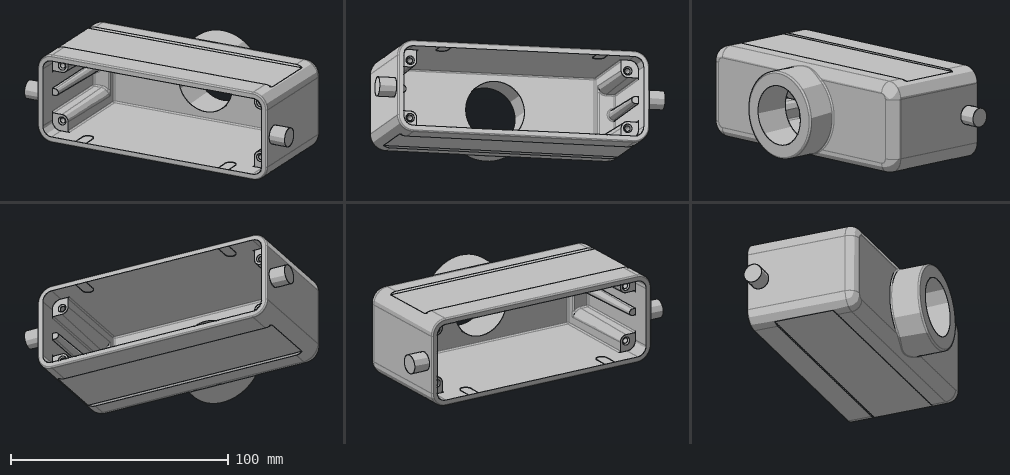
import cadquery as cq
import math

overall_width = 136.0
overall_depth = 69.5
body_width = 120.0
body_depth = 54.8
body_height = 43.0
corner_radius = 7.5
back_edge_radius = 5.0
rim_radius = 0.7

wall = 2.9
draft_angle = 1.2
inner_fillet = 0.7
cavity_depth = body_depth - wall
cavity_width = body_width - 2 * wall
cavity_height = body_height - 2 * wall

recess_front = 12.4
recess_back = 42.5
recess_depth = 0.8

entry_diameter = 41.1
entry_bore = 27.9
entry_edge_radius = 0.8
entry_base_fillet = 0.7

peg_diameter = 9.0
peg_y = 6.7

post_start = 8.8
post_x = 51.8
post_z = 13.5
post_radius = 3.1
post_inner_x = post_x - post_radius
post_inner_z = post_z - post_radius
screw_hole_diameter = 2.6
screw_hole_depth = 16.3
screw_hole_chamfer = 0.7
ledge_height = 4.1
ledge_y = cavity_depth - ledge_height
rib_radius = 1.6
rib_x = 55.4

groove_x = 37.3
groove_width = 5.5
groove_length = 9.4

SIDES = (-1, 1)


def section(y):
    """Sketch plane across the part at depth y; extruding by a negative length goes toward +Y."""
    return cq.Workplane("XZ", origin=(0, y, 0))


def edges_at_depth(solid, y):
    """Edges lying on the flat faces that sit at depth y."""
    reach = overall_width
    slab = cq.selectors.BoxSelector((-reach, y - 0.01, -reach), (reach, y + 0.01, reach))
    return solid.faces("|Y").faces(slab).edges()


def make_body():
    body = section(0).rect(body_width, body_height).extrude(-body_depth)
    body = body.edges("|Y").fillet(corner_radius)
    body = body.faces(">Y").edges().fillet(back_edge_radius)
    return body.faces("<Y").edges().fillet(rim_radius)


def add_entry(body):
    """Round cable entry, blended into the back of the body."""
    start = body_depth / 2
    entry = section(start).circle(entry_diameter / 2).extrude(start - overall_depth)
    body = body.union(entry)
    half = entry_diameter / 2 + 0.1
    seam_zone = cq.selectors.BoxSelector(
        (-half, body_depth - back_edge_radius, -half),
        (half, body_depth + 0.1, half),
        boundingbox=True,
    )
    body = body.edges(seam_zone).fillet(entry_base_fillet)
    return body.faces(">Y").edges().fillet(entry_edge_radius)


def make_post():
    """Drafted post filling the +X +Z cavity corner, rounded around its screw axis."""
    arc_offset = post_radius * math.sqrt(0.5)
    return (
        section(post_start)
        .moveTo(post_inner_x, body_height / 2)
        .lineTo(post_inner_x, post_z)
        .threePointArc((post_x - arc_offset, post_z - arc_offset), (post_x, post_inner_z))
        .lineTo(body_width / 2, post_inner_z)
        .lineTo(body_width / 2, body_height / 2)
        .close()
        .extrude(post_start - body_depth, taper=-draft_angle)
    )


def make_rib():
    """Drafted half-round guide rib on the +X end wall."""
    return (
        section(post_start)
        .moveTo(body_width / 2, rib_radius)
        .lineTo(rib_x, rib_radius)
        .threePointArc((rib_x - rib_radius, 0), (rib_x, -rib_radius))
        .lineTo(body_width / 2, -rib_radius)
        .close()
        .extrude(post_start - body_depth, taper=-draft_angle)
    )


def make_ledge():
    """Raised step along the foot of the +X end wall, flush with the posts."""
    drafted_x = post_inner_x - (ledge_y - post_start) * math.tan(math.radians(draft_angle))
    length = body_width / 2 - drafted_x
    return (
        section(ledge_y)
        .center(drafted_x + length / 2, 0)
        .rect(length, 2 * body_height)
        .extrude(ledge_y - body_depth, taper=-draft_angle)
    )


def edge_zone(x, y, z):
    """Box selector around one long edge, wide enough to allow for the draft."""
    margin_across = 1.4
    margin_along = 3.4
    return cq.selectors.BoxSelector(
        (x - margin_across, y - margin_along, z - margin_across),
        (x + margin_across, y + margin_along, z + margin_across),
    )


def post_corner_zones():
    """Selector for the eight long edges where the posts run into the cavity walls."""
    corners = [(post_inner_x, cavity_height / 2), (cavity_width / 2, post_inner_z)]
    middle_y = (post_start + cavity_depth) / 2
    zones = [
        edge_zone(x_side * x, middle_y, z_side * z)
        for x, z in corners
        for x_side in SIDES
        for z_side in SIDES
    ]
    selector = zones[0]
    for zone in zones[1:]:
        selector = selector + zone
    return selector


def make_cavity():
    """Solid to subtract from the body: the drafted pocket less its internal posts and ribs."""
    cavity = section(0).sketch().rect(cavity_width, cavity_height).vertices()
    cavity = cavity.fillet(corner_radius - wall).finalize().extrude(-cavity_depth, taper=draft_angle)
    post = make_post()
    end_details = make_ledge().union(make_rib()).union(post).union(post.mirror("XY"))
    cavity = cavity.cut(end_details).cut(end_details.mirror("YZ"))
    blended = cavity.edges(post_corner_zones())
    for y in (ledge_y, cavity_depth):
        blended = blended.add(edges_at_depth(cavity, y))
    return blended.fillet(inner_fillet)


def make_grooves():
    """Undrafted slots, so their depth grows from nothing at the rim."""
    end_y = groove_length - groove_width / 2
    grooves = cq.Workplane("XY", origin=(0, 0, -cavity_height / 2))
    grooves = grooves.pushPoints([(side * groove_x, end_y / 2) for side in SIDES])
    slots = grooves.rect(groove_width, end_y).extrude(cavity_height)
    ends = cq.Workplane("XY", origin=(0, end_y, -cavity_height / 2))
    ends = ends.pushPoints([(side * groove_x, 0) for side in SIDES])
    return slots.union(ends.circle(groove_width / 2).extrude(cavity_height))


def make_label_recesses():
    """Full-width cutters for both recesses, square at the front, sloped at 45 degrees at the back."""
    face_z = body_height / 2
    cutter = (
        cq.Workplane("YZ", origin=(-body_width / 2, 0, 0))
        .moveTo(recess_front, face_z)
        .lineTo(recess_front, face_z - recess_depth)
        .lineTo(recess_back - recess_depth, face_z - recess_depth)
        .lineTo(recess_back, face_z)
        .close()
        .extrude(body_width)
    )
    return cutter.union(cutter.mirror("XY"))


def make_pegs():
    length = (overall_width - cavity_width) / 2 - wall / 2
    pegs = cq.Workplane("YZ", origin=(overall_width / 2 - length, peg_y, 0))
    peg = pegs.circle(peg_diameter / 2).extrude(length)
    return peg.union(peg.mirror("YZ"))


def make_screw_holes():
    centres = [(x * post_x, z * post_z) for x in SIDES for z in SIDES]
    holes = section(post_start).pushPoints(centres).circle(screw_hole_diameter / 2)
    holes = holes.extrude(-screw_hole_depth)
    countersinks = section(post_start).pushPoints(centres)
    countersinks = countersinks.circle(screw_hole_diameter / 2 + screw_hole_chamfer)
    return holes.union(countersinks.extrude(-screw_hole_chamfer, taper=45))


housing = add_entry(make_body())
housing = housing.union(make_pegs())
housing = housing.cut(make_label_recesses())
housing = housing.cut(make_cavity())
housing = housing.cut(make_grooves())
housing = housing.cut(make_screw_holes())
result = housing.cut(section(0).circle(entry_bore / 2).extrude(-overall_depth))